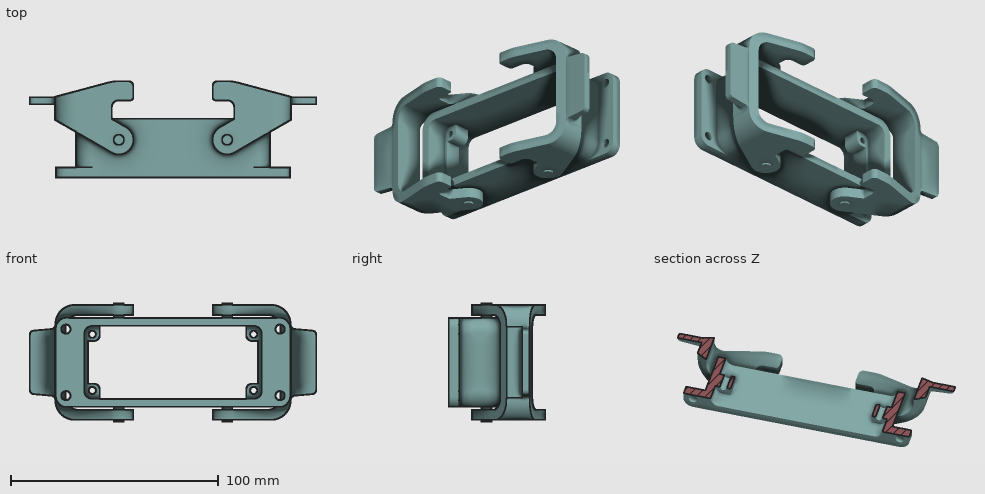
import cadquery as cq
import math

FLANGE_LENGTH = 112.7
FLANGE_THICKNESS = 5.0
FLANGE_CORNER_RADIUS = 5.0
HOUSING_HEIGHT = 42.9
BODY_LENGTH = 93.5
BODY_BACK_Y = 28.4
BODY_CORNER_RADIUS = 7.6
CAVITY_LENGTH = 85.5
CAVITY_HEIGHT = 35.2
CAVITY_CORNER_RADIUS = 4.0

MOUNT_HOLE_DIAMETER = 4.4
MOUNT_SPACING_X = 103.2
MOUNT_SPACING_Z = 32.0

LEDGE_FRONT_Y = 8.8
LEDGE_DEPTH = 8.5
LEDGE_OPENING_LENGTH = 81.7
BOSS_GAP_X = 70.4
BOSS_GAP_Z = 20.4
BOSS_CORNER_RADIUS = 3.0
SCREW_HOLE_DIAMETER = 3.3
SCREW_SPACING_X = 77.7
SCREW_SPACING_Z = 27.0

PIN_DIAMETER = 5.0
PIN_X = 26.1
PIN_Y = 18.2
PIN_SPAN = 57.0
LEVER_HEIGHT = 55.5
LEVER_THICKNESS = 5.0
LEVER_PLATE_X = 56.7
LEVER_BEND_RADIUS = 9.5
LEVER_INNER_BEND_RADIUS = 6.0
PAD_HEIGHT = 0.3
PIVOT_RADIUS = 7.0
ARM_ANGLE = 30
HOOK_BACK_Y = 46.5
HOOK_NOSE_X = 19.0
HOOK_NOSE_RADIUS = 2.5
HOOK_TIP_RADIUS = 1.7
SLOT_BACK_Y = 37.1
SLOT_END_X = 29.4
SLOT_RADIUS = 3.0
SLOT_CORNER_RADIUS = 1.0
SHOULDER_ANGLE = 15
SHOULDER_Y = 38.9
SHOULDER_RADIUS = 19.3

TAB_TIP_X = 69.0
TAB_BACK_Y = 38.8
TAB_THICKNESS = 3.5
TAB_TIP_HEIGHT = 30.4
TAB_DRAFT = 5
TAB_TIP_RADIUS = 2.1
TAB_ROOT_RADIUS = 2.1

PICK_MARGIN = 0.1


def block(length, height, start_y, depth):
    """Block centred on X and Z that runs backwards (+Y) from start_y."""
    return cq.Workplane("XZ", origin=(0, start_y, 0)).rect(length, height).extrude(-depth)


def cylinders(diameter, spacing_x, spacing_z, start_y, depth):
    """Four cylinders along Y at the corners of a rectangle."""
    return (
        cq.Workplane("XZ", origin=(0, start_y, 0))
        .rect(spacing_x, spacing_z, forConstruction=True)
        .vertices()
        .circle(diameter / 2)
        .extrude(-depth)
    )


def make_ledge():
    ledge = block(CAVITY_LENGTH, CAVITY_HEIGHT, LEDGE_FRONT_Y, LEDGE_DEPTH)
    ledge = ledge.edges("|Y").fillet(CAVITY_CORNER_RADIUS)
    wide_opening = block(LEDGE_OPENING_LENGTH, BOSS_GAP_Z, LEDGE_FRONT_Y, LEDGE_DEPTH)
    tall_opening = block(BOSS_GAP_X, CAVITY_HEIGHT, LEDGE_FRONT_Y, LEDGE_DEPTH)
    ledge = ledge.cut(wide_opening).cut(tall_opening)
    corner_z = BOSS_GAP_Z / 2
    for corner_x in (-BOSS_GAP_X / 2, BOSS_GAP_X / 2):
        boss_edges = cq.selectors.BoxSelector(
            (corner_x - PICK_MARGIN, LEDGE_FRONT_Y, -corner_z - PICK_MARGIN),
            (corner_x + PICK_MARGIN, LEDGE_FRONT_Y + LEDGE_DEPTH, corner_z + PICK_MARGIN),
        )
        ledge = ledge.edges("|Y").edges(boss_edges).fillet(BOSS_CORNER_RADIUS)
    return ledge.cut(
        cylinders(SCREW_HOLE_DIAMETER, SCREW_SPACING_X, SCREW_SPACING_Z, LEDGE_FRONT_Y, LEDGE_DEPTH)
    )


def make_housing():
    flange = block(FLANGE_LENGTH, HOUSING_HEIGHT, 0, FLANGE_THICKNESS)
    flange = flange.edges("|Y").fillet(FLANGE_CORNER_RADIUS)
    flange = flange.cut(
        cylinders(MOUNT_HOLE_DIAMETER, MOUNT_SPACING_X, MOUNT_SPACING_Z, 0, FLANGE_THICKNESS)
    )
    body = block(BODY_LENGTH, HOUSING_HEIGHT, 0, BODY_BACK_Y)
    body = body.edges("|Y").fillet(BODY_CORNER_RADIUS)
    cavity = block(CAVITY_LENGTH, CAVITY_HEIGHT, 0, BODY_BACK_Y)
    cavity = cavity.edges("|Y").fillet(CAVITY_CORNER_RADIUS)
    return flange.union(body).cut(cavity).union(make_ledge())


def lever_side_profile():
    """U-shaped band with its flared tab, as seen along Y, extruded over the lever's depth."""
    arm_length = LEVER_PLATE_X
    inner_height = LEVER_HEIGHT - 2 * LEVER_THICKNESS
    outer = block(arm_length, LEVER_HEIGHT, 0, HOOK_BACK_Y).edges("|Y and >X")
    outer = outer.fillet(LEVER_BEND_RADIUS).translate((arm_length / 2, 0, 0))
    inner = block(arm_length, inner_height, 0, HOOK_BACK_Y).edges("|Y and >X")
    inner = inner.fillet(LEVER_INNER_BEND_RADIUS)
    inner = inner.translate((arm_length / 2 - LEVER_THICKNESS, 0, 0))

    embedded_x = LEVER_PLATE_X - LEVER_THICKNESS / 2
    tip_z = TAB_TIP_HEIGHT / 2
    embedded_z = tip_z + (TAB_TIP_X - embedded_x) * math.tan(math.radians(TAB_DRAFT))
    tab = (
        cq.Workplane("XZ")
        .polyline(
            [
                (embedded_x, -embedded_z),
                (TAB_TIP_X, -tip_z),
                (TAB_TIP_X, tip_z),
                (embedded_x, embedded_z),
            ]
        )
        .close()
        .extrude(-HOOK_BACK_Y)
        .edges("|Y and >X")
        .fillet(TAB_TIP_RADIUS)
    )
    root_edges = cq.selectors.BoxSelector(
        (LEVER_PLATE_X - PICK_MARGIN, 0, -embedded_z),
        (LEVER_PLATE_X + PICK_MARGIN, HOOK_BACK_Y, embedded_z),
    )
    return outer.cut(inner).union(tab).edges("|Y").edges(root_edges).fillet(TAB_ROOT_RADIUS)


def lever_plan():
    """Hook, pivot eye, thin pad and tab outline, as seen along Z, extruded over the height."""
    arm = math.radians(ARM_ANGLE)
    shoulder_slope = math.tan(math.radians(SHOULDER_ANGLE))
    tangent_x = PIVOT_RADIUS * math.sin(arm)
    tangent_y = PIVOT_RADIUS * math.cos(arm)
    lower = (PIN_X + tangent_x, PIN_Y - tangent_y)
    upper = (PIN_X - tangent_x, PIN_Y + tangent_y)
    eye_tip = (PIN_X - PIVOT_RADIUS * math.cos(arm), PIN_Y - PIVOT_RADIUS * math.sin(arm))
    pad_x = LEVER_PLATE_X + PAD_HEIGHT
    pad_front_y = lower[1] + (pad_x - lower[0]) * math.tan(arm)
    slot_front_y = upper[1] + (SLOT_END_X - upper[0]) * math.tan(arm)
    shoulder_top_x = pad_x - (HOOK_BACK_Y - SHOULDER_Y) / shoulder_slope

    plan = (
        cq.Workplane("XY", origin=(0, 0, -LEVER_HEIGHT / 2))
        .moveTo(*upper)
        .threePointArc(eye_tip, lower)
        .lineTo(pad_x, pad_front_y)
        .lineTo(pad_x, SHOULDER_Y)
        .lineTo(shoulder_top_x, HOOK_BACK_Y)
        .lineTo(HOOK_NOSE_X, HOOK_BACK_Y)
        .lineTo(HOOK_NOSE_X, SLOT_BACK_Y)
        .lineTo(SLOT_END_X, SLOT_BACK_Y)
        .lineTo(SLOT_END_X, slot_front_y)
        .close()
        .extrude(LEVER_HEIGHT)
    )
    rounded_corners = [
        (shoulder_top_x, HOOK_BACK_Y, SHOULDER_RADIUS),
        (HOOK_NOSE_X, HOOK_BACK_Y, HOOK_NOSE_RADIUS),
        (HOOK_NOSE_X, SLOT_BACK_Y, HOOK_TIP_RADIUS),
        (SLOT_END_X, SLOT_BACK_Y, SLOT_RADIUS),
        (SLOT_END_X, slot_front_y, SLOT_CORNER_RADIUS),
    ]
    for x, y, radius in rounded_corners:
        corner = cq.selectors.NearestToPointSelector((x, y, 0))
        plan = plan.edges("|Z").edges(corner).fillet(radius)

    tab = cq.Workplane("XY").box(
        TAB_TIP_X - LEVER_PLATE_X, TAB_THICKNESS, LEVER_HEIGHT, centered=(False, False, True)
    )
    return plan.union(tab.translate((LEVER_PLATE_X, TAB_BACK_Y - TAB_THICKNESS, 0)))


def make_lever():
    """Lever on the +X side, with its two pins resting on the body."""
    lever = lever_side_profile().intersect(lever_plan())
    pin_length = (PIN_SPAN - HOUSING_HEIGHT) / 2
    for start_z in (-PIN_SPAN / 2, HOUSING_HEIGHT / 2):
        pin = cq.Workplane("XY", origin=(PIN_X, PIN_Y, start_z)).circle(PIN_DIAMETER / 2)
        lever = lever.union(pin.extrude(pin_length))
    return lever


lever = make_lever()
opposite_lever = lever.mirror("YZ")
result = make_housing().union(lever).union(opposite_lever)